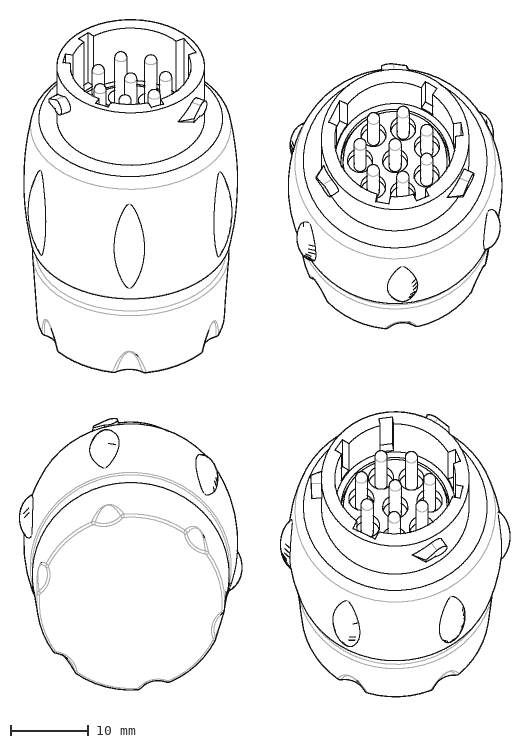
import cadquery as cq
import math

total_height = 41.4
sleeve_top = 32.7
sleeve_bottom = 13.15
nut_top = 10.72

nut_top_radius = 12.7
nut_bottom_radius = 12.1
nut_top_fillet = 0.4
nut_bottom_fillet = 0.35

flute_radius = 3.0
flute_depth_radius = 11.18
flute_height = 4.0
flute_edge_fillet = 0.62

neck_radius = 9.25

sleeve_end_radius = 12.9
sleeve_middle_radius = 13.8
sleeve_shoulder = 31.45
sleeve_top_radius = 11.85
sleeve_bottom_fillet = 0.25
sleeve_middle = (sleeve_bottom + sleeve_shoulder) / 2

grip_count = 6
grip_start_angle = 30
bump_top_radius = 14.82
bump_thickness = 2.25
bump_arc_radius = 16.7

shell_radius = 9.52
cavity_radius = 7.8
cavity_floor = sleeve_top

keyway_bottom_radius = 8.75
keyway_step = 0.4
keyway_floor = cavity_floor + keyway_step
main_key_width = 3.23
small_key_width = 1.75
keyways = [
    (90, main_key_width),
    (-6, small_key_width),
    (-54.5, small_key_width),
    (-130, small_key_width),
    (-165, small_key_width),
]

groove_outer_radius = 7.0
groove_inner_radius = 6.7
groove_depth = 1.25

pin_count = 7
pin_circle_radius = 4.5
pin_start_angle = -90
pin_radius = 0.8
pin_top = 40.08
well_radius = 1.6
well_depth = 2.05

lug_count = 3
lug_start_angle = -90
lug_height = 38.87
lug_radius = 1.05
lug_face_distance = 10.8
lug_root_distance = 8.65
lug_tail_length = 3.15
lug_tail_drop = 0.75
lug_tail_face_length = 2.2


def around(shape, count, start_angle):
    """Copies of a shape turned about the Z axis at equal steps."""
    copies = cq.Workplane("XY")
    for i in range(count):
        angle = start_angle + i * 360 / count
        copies = copies.add(shape.rotate((0, 0, 0), (0, 0, 1), angle))
    return copies.combine()


def cylinder(radius, bottom, top):
    return cq.Workplane("XY").workplane(offset=bottom).circle(radius).extrude(top - bottom)


def make_nut():
    profile = [(0, 0), (nut_bottom_radius, 0), (nut_top_radius, nut_top), (0, nut_top)]
    nut = cq.Workplane("XZ").polyline(profile).close().revolve(360, (0, 0), (0, 1))
    nut = nut.faces(">Z").edges().fillet(nut_top_fillet)

    wall_slope = (nut_top_radius - nut_bottom_radius) / nut_top
    runout_radius = nut_bottom_radius + wall_slope * flute_height
    lean = math.degrees(math.atan((runout_radius - flute_depth_radius) / flute_height))
    axis_radius = flute_depth_radius + flute_radius / math.cos(math.radians(lean))
    cutter = (
        cylinder(flute_radius, -flute_height, 2 * flute_height)
        .rotate((0, 0, 0), (0, 1, 0), lean)
        .translate((axis_radius, 0, 0))
    )
    nut = nut.cut(around(cutter, grip_count, grip_start_angle))
    arches = cq.selectors.BoxSelector(
        (-nut_top_radius, -nut_top_radius, nut_bottom_fillet),
        (nut_top_radius, nut_top_radius, flute_height),
    )
    nut = nut.edges(arches).fillet(flute_edge_fillet)
    return nut.faces("<Z").edges().fillet(nut_bottom_fillet)


def make_sleeve():
    sleeve = (
        cq.Workplane("XZ")
        .moveTo(0, sleeve_bottom)
        .lineTo(sleeve_end_radius, sleeve_bottom)
        .threePointArc((sleeve_middle_radius, sleeve_middle), (sleeve_end_radius, sleeve_shoulder))
        .tangentArcPoint((sleeve_top_radius, sleeve_top), relative=False)
        .lineTo(0, sleeve_top)
        .close()
        .revolve(360, (0, 0), (0, 1))
    )
    sleeve = sleeve.faces("<Z").edges().fillet(sleeve_bottom_fillet)
    return sleeve.union(around(make_bump(), grip_count, grip_start_angle))


def make_bump():
    half_length = math.sqrt(bump_arc_radius**2 - (bump_arc_radius - bump_thickness) ** 2)
    return (
        cq.Workplane("XZ")
        .moveTo(0, -half_length)
        .threePointArc((bump_thickness, 0), (0, half_length))
        .close()
        .revolve(360, (0, 0), (0, 1))
        .translate((bump_top_radius - bump_thickness, 0, sleeve_middle))
    )


def make_cavity():
    cavity = cylinder(cavity_radius, cavity_floor, total_height)
    for angle, width in keyways:
        slot = (
            cq.Workplane("XY")
            .workplane(offset=keyway_floor)
            .center(keyway_bottom_radius / 2, 0)
            .rect(keyway_bottom_radius, width)
            .extrude(total_height - keyway_floor)
        )
        cavity = cavity.union(slot.rotate((0, 0, 0), (0, 0, 1), angle))
    groove = (
        cq.Workplane("XY")
        .workplane(offset=cavity_floor)
        .circle(groove_outer_radius)
        .circle(groove_inner_radius)
        .extrude(-groove_depth)
    )
    return cavity.union(groove)


def at_contacts(shape):
    """The shape on the axis and on every place of the pin circle."""
    ring = around(shape.translate((pin_circle_radius, 0, 0)), pin_count, pin_start_angle)
    return ring.union(shape)


def make_pin():
    pin = cylinder(pin_radius, cavity_floor - well_depth, pin_top - pin_radius)
    tip = cq.Workplane("XY").sphere(pin_radius).translate((0, 0, pin_top - pin_radius))
    return pin.union(tip)


def make_lug():
    """Teardrop lug facing +X, drawn with its tail toward -Y."""
    thickness = lug_face_distance - lug_root_distance
    plane = cq.Workplane("YZ").workplane(offset=lug_root_distance)
    head = plane.circle(lug_radius).extrude(thickness)

    tip_distance = math.hypot(lug_tail_length, lug_tail_drop)
    tip_angle = math.atan2(-lug_tail_drop, -lug_tail_length)
    tangent_angle = tip_angle - math.acos(lug_radius / tip_distance)
    tangent_point = (lug_radius * math.cos(tangent_angle), lug_radius * math.sin(tangent_angle))
    lower_point = (-math.sqrt(lug_radius**2 - lug_tail_drop**2), -lug_tail_drop)
    tail = (
        plane.moveTo(-lug_tail_length, -lug_tail_drop)
        .lineTo(*tangent_point)
        .lineTo(0, 0)
        .lineTo(*lower_point)
        .close()
        .extrude(thickness)
    )

    tail_root_distance = math.sqrt(shell_radius**2 - lug_tail_length**2)
    slant = (
        cq.Workplane("XY")
        .workplane(offset=-lug_radius)
        .moveTo(tail_root_distance, -lug_tail_length)
        .lineTo(lug_face_distance, -lug_tail_face_length)
        .lineTo(lug_face_distance, -lug_tail_length)
        .close()
        .extrude(2 * lug_radius)
    )
    return head.union(tail).cut(slant).translate((0, 0, lug_height))


neck = cylinder(neck_radius, nut_top, sleeve_bottom)
shell = cylinder(shell_radius, sleeve_top, total_height)
lugs = around(make_lug(), lug_count, lug_start_angle)
wells = at_contacts(cylinder(well_radius, cavity_floor - well_depth, cavity_floor))
pins = at_contacts(make_pin())

body = make_nut().union(neck).union(make_sleeve()).union(shell).union(lugs)
result = body.cut(make_cavity()).cut(wells).union(pins)